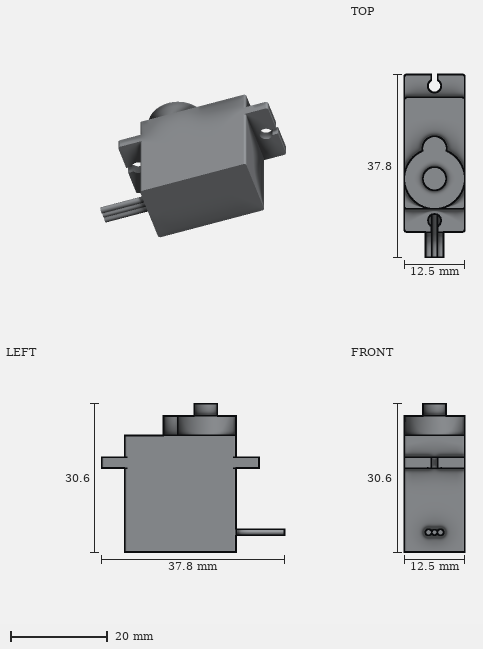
import cadquery as cq

case_width = 12.5
case_length = 23.0
case_height = 24.1
corner_radius = 0.5
case_front_y = -case_length / 2

flange_overhang = 4.75
flange_thickness = 2.3
flange_bottom_z = 17.3
flange_length = case_length + 2 * flange_overhang
screw_hole_diameter = 2.7
screw_slot_width = 1.3
screw_hole_y = (case_length + flange_overhang) / 2

gear_housing_height = 4.0
gear_housing_diameter = case_width
gear_axis_y = case_front_y + gear_housing_diameter / 2
lobe_diameter = 5.0
lobe_y = gear_axis_y + gear_housing_diameter / 2
gear_housing_top_z = case_height + gear_housing_height

shaft_diameter = 4.8
shaft_height = 2.5

wire_length = 10.0
wire_z = 4.08
outer_wire_diameter = 1.3
middle_wire_diameter = 1.15
wire_pitch = (outer_wire_diameter + middle_wire_diameter) / 2
wire_embed = 1.0


def rounded_block(length, height, bottom_z):
    """Full-width block with rounded vertical corners."""
    block = cq.Workplane("XY").box(case_width, length, height, centered=(True, True, False))
    return block.edges("|Z").fillet(corner_radius).translate((0, 0, bottom_z))


def vertical_cylinder(diameter, height, y, bottom_z):
    return cq.Workplane("XY", origin=(0, y, bottom_z)).circle(diameter / 2).extrude(height)


def screw_opening(end):
    """Keyhole cutter for one flange end (-1 front, +1 back): a hole with a slot to the outside."""
    hole_y = end * screw_hole_y
    slot_length = flange_overhang / 2
    hole = vertical_cylinder(screw_hole_diameter, flange_thickness, hole_y, flange_bottom_z)
    slot = (
        cq.Workplane("XY", origin=(0, hole_y + end * slot_length / 2, flange_bottom_z))
        .rect(screw_slot_width, slot_length)
        .extrude(flange_thickness)
    )
    return hole.union(slot)


def mounting_flange():
    flange = rounded_block(flange_length, flange_thickness, flange_bottom_z)
    for end in (-1, 1):
        flange = flange.cut(screw_opening(end))
    return flange


def gear_housing():
    main_round = vertical_cylinder(gear_housing_diameter, gear_housing_height, gear_axis_y, case_height)
    lobe = vertical_cylinder(lobe_diameter, gear_housing_height, lobe_y, case_height)
    return main_round.union(lobe)


def wire(diameter, x):
    """Straight wire running forward (-Y) out of the case."""
    start = cq.Workplane("XZ", origin=(x, case_front_y + wire_embed, wire_z))
    return start.circle(diameter / 2).extrude(wire_length + wire_embed)


case = rounded_block(case_length, case_height, 0)
shaft = vertical_cylinder(shaft_diameter, shaft_height, gear_axis_y, gear_housing_top_z)

result = case.union(mounting_flange()).union(gear_housing()).union(shaft)
result = result.union(wire(middle_wire_diameter, 0))
for side in (-1, 1):
    result = result.union(wire(outer_wire_diameter, side * wire_pitch))